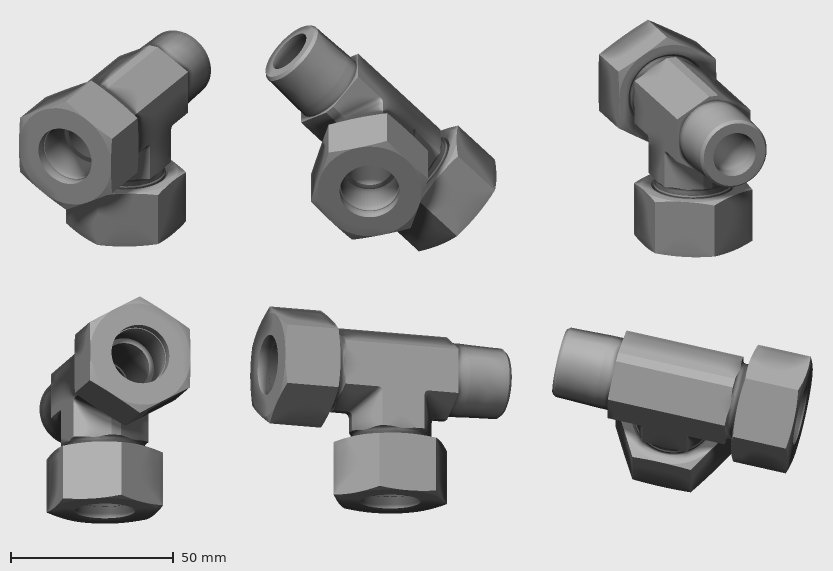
import cadquery as cq
import math


coupling_reach = 40.0
male_reach = 36.0

bar_flats = 24.0
bar_ridge = 26.0
bar_male_end = 18.0
bar_coupling_end = 19.0
junction_fillet = 1.5

male_dia = 22.65
male_cylinder_length = 3.95
male_taper = 1 / 16
male_tip_dia = 20.3
male_tip_length = 1.0
male_bore = 14.0

thread_dia = 24.4
undercut_dia = 23.7
undercut_fillet = 1.0
undercut_end = 21.4
tee_face = 31.0
tube_dia = 18.0
socket_floor = 23.5
coupling_bore = 15.0

nut_flats = 32.0
nut_height = 18.0
nut_bevel_angle = 15
nut_hole = 18.5
nut_lip = 3.65
nut_countersink = 26.0

ring_collar_dia = 23.0
ring_nose_dia = 20.3
ring_nose_length = 3.8

ring_face = coupling_reach - nut_lip
nut_inner_face = coupling_reach - nut_height


def disc(diameter, start, end):
    """Cylinder on the Z axis between two heights."""
    return cq.Workplane("XY").workplane(offset=start).circle(diameter / 2).extrude(end - start)


def hexagon(flats, start, end):
    """Hexagonal prism on the Z axis, with flats facing +X and -X and corners on the Y axis."""
    corners = flats / math.cos(math.radians(30))
    return (
        cq.Workplane("XY").workplane(offset=start)
        .transformed(rotate=(0, 0, 90))
        .polygon(6, corners)
        .extrude(end - start)
    )


def revolved_on_y(outline):
    """Solid of revolution about the Y axis from an outline drawn in radius and height."""
    return outline.close().revolve(360, (0, 0, 0), (0, 1, 0))


def revolved_on_z(outline):
    """Solid of revolution about the Z axis from an outline drawn in radius and height."""
    return revolved_on_y(outline).rotate((0, 0, 0), (1, 0, 0), 90)


def on_run(shape):
    """Turn a shape built along +Z so that it points along -Y."""
    return shape.rotate((0, 0, 0), (1, 0, 0), 90)


def on_branch(shape):
    """Turn a shape built along +Z so that it points along -Z."""
    return shape.rotate((0, 0, 0), (1, 0, 0), 180)


coupling_directions = [on_run, on_branch]


def ridged_bar(start, end):
    """Hexagonal bar whose two Y ridges are planed flat."""
    planed = cq.Workplane("XY").workplane(offset=start).rect(bar_flats, bar_ridge).extrude(end - start)
    return hexagon(bar_flats, start, end).intersect(planed)


def coupling_bar(start):
    """Ridged bar along +Z whose end is turned down to the undercut by a quarter-round groove."""
    end = bar_coupling_end + undercut_fillet
    neck_radius = undercut_dia / 2
    arc_offset = undercut_fillet * (1 - math.cos(math.radians(45)))
    outline = (
        cq.Workplane("XY")
        .moveTo(0, start)
        .lineTo(bar_flats, start)
        .lineTo(bar_flats, bar_coupling_end)
        .lineTo(neck_radius + undercut_fillet, bar_coupling_end)
        .threePointArc((neck_radius + arc_offset, bar_coupling_end + arc_offset), (neck_radius, end))
        .lineTo(0, end)
    )
    return ridged_bar(start, end).intersect(revolved_on_z(outline))


def bar_junction():
    """The run and branch bars joined, with fillets in the corners between them."""
    bars = on_run(coupling_bar(-bar_male_end)).union(on_branch(coupling_bar(0)))

    def in_corner(edge):
        ends = [edge.startPoint(), edge.endPoint()]
        return all(p.z < 0 and math.isclose(abs(p.y), -p.z, abs_tol=0.001) for p in ends)

    corners = [edge for edge in bars.edges().vals() if in_corner(edge)]
    return bars.newObject(corners).fillet(junction_fillet)


def taper_thread():
    """Plain cylinder, taper and tip bevel of the male end, along +Y."""
    taper_start = bar_male_end + male_cylinder_length
    taper_end = male_reach - male_tip_length
    taper_end_dia = male_dia - male_taper * (taper_end - taper_start)
    outline = (
        cq.Workplane("XY")
        .lineTo(male_dia / 2, 0)
        .lineTo(male_dia / 2, taper_start)
        .lineTo(taper_end_dia / 2, taper_end)
        .lineTo(male_tip_dia / 2, male_reach)
        .lineTo(0, male_reach)
    )
    return revolved_on_y(outline)


def coupling_thread():
    """Neck of the undercut and the thread that follows it, along +Z."""
    neck_radius = undercut_dia / 2
    thread_radius = thread_dia / 2
    widening = thread_radius - neck_radius
    neck_start = bar_coupling_end + undercut_fillet
    outline = (
        cq.Workplane("XY")
        .moveTo(0, neck_start)
        .lineTo(neck_radius, neck_start)
        .lineTo(neck_radius, undercut_end)
        .lineTo(thread_radius, undercut_end + widening)
        .lineTo(thread_radius, tee_face)
        .lineTo(0, tee_face)
    )
    return revolved_on_z(outline)


def coupling_cavity():
    """Bore, tube socket and seat of the cutting ring."""
    return (
        disc(coupling_bore, 0, socket_floor)
        .union(disc(tube_dia, socket_floor, tee_face))
        .union(disc(ring_nose_dia, tee_face - ring_nose_length, tee_face))
    )


def make_tee():
    tee = bar_junction().union(taper_thread())
    for turn in coupling_directions:
        tee = tee.union(turn(coupling_thread()))
    for turn in coupling_directions:
        tee = tee.cut(turn(coupling_cavity()))
    return tee.cut(on_run(disc(male_bore, -male_reach, 0)))


def nut_bevel():
    """Double cone that bevels both ends of the hexagon down to a circle across the flats."""
    face_radius = nut_flats / 2
    apex_radius = face_radius + nut_height / 2 / math.tan(math.radians(nut_bevel_angle))
    outline = (
        cq.Workplane("XY")
        .moveTo(0, nut_inner_face)
        .lineTo(face_radius, nut_inner_face)
        .lineTo(apex_radius, (nut_inner_face + coupling_reach) / 2)
        .lineTo(face_radius, coupling_reach)
        .lineTo(0, coupling_reach)
    )
    return revolved_on_z(outline)


def nut_entry():
    """45 degree countersink at the thread end of the nut."""
    depth = (nut_countersink - thread_dia) / 2
    outline = (
        cq.Workplane("XY")
        .moveTo(0, nut_inner_face)
        .lineTo(nut_countersink / 2, nut_inner_face)
        .lineTo(thread_dia / 2, nut_inner_face + depth)
        .lineTo(0, nut_inner_face + depth)
    )
    return revolved_on_z(outline)


def make_nut():
    return (
        hexagon(nut_flats, nut_inner_face, coupling_reach)
        .intersect(nut_bevel())
        .cut(nut_entry())
        .cut(disc(thread_dia, nut_inner_face, tee_face))
        .cut(disc(ring_collar_dia, tee_face, ring_face))
        .cut(disc(nut_hole, ring_face, coupling_reach))
    )


def make_ring():
    nose_end = tee_face - ring_nose_length
    return (
        disc(ring_collar_dia, tee_face, ring_face)
        .union(disc(ring_nose_dia, nose_end, tee_face))
        .cut(disc(tube_dia, nose_end, ring_face))
    )


tee = make_tee()
nuts = [turn(make_nut()) for turn in coupling_directions]
rings = [turn(make_ring()) for turn in coupling_directions]

result = cq.Compound.makeCompound([body.val() for body in [tee, *nuts, *rings]])